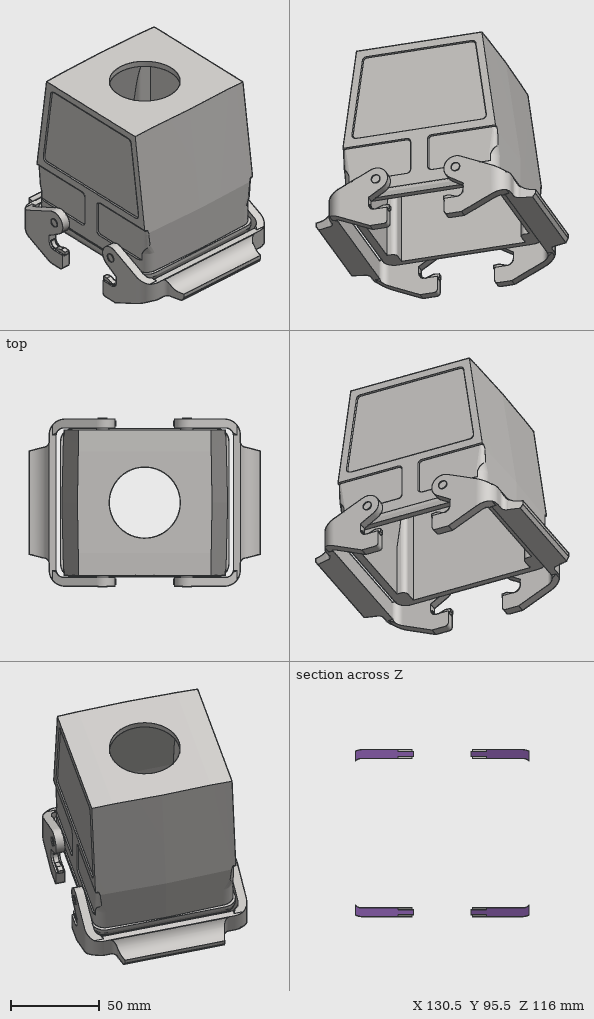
import cadquery as cq
import math

height = 95.5
half_width = 41.05
shoulder_z = 32.1
shoulder_ridge = 46.8
shoulder_corner = 45.8
top_ridge = 38.0
top_corner = 37.3
roof_flat_half = 28.6
roof_drop = 0.4

flange_half_length = 47.6
flange_half_width = 41.9
flange_top = 4.75
flange_bevel_height = 2.4
flange_bevel_inset = 0.75

corner_radius = 7.3
corner_blend_start = 17.0
corner_blend_end = 31.2
blend_top_radius = 0.6

recess_depth = 0.8
recess_radius = 2.2
recess_draft = 30
panel_bottom = 40.1
panel_top = 90.2
panel_bottom_half = 39.9
panel_top_half = 33.1
pocket_bottom = 12.9
pocket_top = 34.2
pocket_inner_x = 5.45
pocket_low_radius = 4.6
pocket_high_radius = 2.6
pocket_wall_margin = 0.1

wall = 3.5
cable_hole_diameter = 40.0
cavity_half_width = half_width - wall
post_x = 36.8
post_y = 28.0
post_radius = 3.0

pivot_x = 23.75
pivot_z = 8.45
pin_diameter = 5.1
collar_diameter = 7.0
pin_end_y = 47.75

arm_inner_y = 42.1
arm_outer_y = 47.25
bar_inner_x = 50.0
bar_outer_x = 54.0
bar_top = 2.9
bar_bottom = -8.7
bend_inner_radius = 4.2
bend_outer_radius = 9.0
arm_slope = math.radians(25)
bar_ramp = 45
bar_trim_height = 3.0
pivot_eye_radius = 7.0

lever_bottom = -20.5
hook_tip_x = 17.0
hook_heel_x = 27.3
hook_corner_radius = 2.0
notch_x = 28.2
notch_top = -2.5
notch_radius = 4.0
notch_bottom = -10.45

lip_width = 3.0
lip_thickness = 0.6
lip_crest_x = 19.3
lip_crest_z = -8.1
lip_tip_x = 16.2
lip_tip_z = -8.5
lip_root_z = -11.4

grip_end_x = 65.25
grip_top = -3.8
grip_curve_x = 63.3
grip_curve_radius = 10.0
grip_bevel_height = 2.4
grip_bevel_length = 1.5
grip_end_half = 29.2
grip_root_x = 57.2
grip_root_half = 31.3
grip_blend_half = 34.6

REACH = 200.0


def end_outline(ridge, corner, half_y, radius, z):
    """Closed plan outline with slightly V-shaped ends and rounded corners at level z."""
    points = [
        (corner, -half_y), (ridge, 0), (corner, half_y),
        (-corner, half_y), (-ridge, 0), (-corner, -half_y),
    ]
    wire = cq.Wire.makePolygon([cq.Vector(x, y, z) for x, y in points], close=True)
    if radius == 0:
        return wire
    corners = [v for v in wire.Vertices() if abs(v.Y) > half_y / 2]
    return wire.fillet2D(radius, corners)


def loft(*wires):
    return cq.Workplane(obj=cq.Solid.makeLoft(list(wires), True))


def shoulder_outline(half_y, radius, z):
    return end_outline(shoulder_ridge, shoulder_corner, half_y, radius, z)


def rounded_plate(half_x, half_y, radius, z_low, z_high):
    return (
        cq.Workplane("XY").workplane(offset=z_low)
        .rect(2 * half_x, 2 * half_y).extrude(z_high - z_low)
        .edges("|Z").fillet(radius)
    )


def side_prism(outline):
    """Extrude an XZ outline through the whole width."""
    return outline.extrude(REACH / 2, both=True)


def housing_shell():
    lower = loft(
        shoulder_outline(half_width, corner_radius, 0),
        shoulder_outline(half_width, corner_radius, corner_blend_start),
    )
    blend = loft(
        shoulder_outline(half_width, corner_radius, corner_blend_start),
        shoulder_outline(half_width, blend_top_radius, corner_blend_end),
    )
    collar = loft(
        shoulder_outline(half_width, 0, corner_blend_end),
        shoulder_outline(half_width, 0, shoulder_z),
    )
    upper = loft(
        shoulder_outline(half_width, 0, shoulder_z),
        end_outline(top_ridge, top_corner, half_width, 0, height),
    )
    roof = (
        cq.Workplane("YZ")
        .moveTo(-half_width, -1).lineTo(half_width, -1)
        .lineTo(half_width, height - roof_drop).lineTo(roof_flat_half, height)
        .lineTo(-roof_flat_half, height).lineTo(-half_width, height - roof_drop).close()
        .extrude(REACH / 2, both=True)
    )
    return lower.union(blend).union(collar).union(upper).intersect(roof)


def flange():
    plate = rounded_plate(flange_half_length, flange_half_width, corner_radius, 0, flange_top)
    return plate.faces("<Z").chamfer(flange_bevel_height, flange_bevel_inset)


def rounded_polygon(corners):
    return cq.Sketch().polygon(corners + corners[:1]).vertices().fillet(recess_radius)


def flared_rim(outline):
    """Stretch of a recess between its floor and the face, on the front and the back."""
    floor_y = half_width - recess_depth
    rim = (
        cq.Workplane("XZ", origin=(0, -floor_y, 0))
        .placeSketch(outline).extrude(recess_depth, taper=-recess_draft)
    )
    return rim.union(rim.mirror("XZ"))


def large_panel_recess():
    return flared_rim(rounded_polygon([
        (-panel_bottom_half, panel_bottom), (panel_bottom_half, panel_bottom),
        (panel_top_half, panel_top), (-panel_top_half, panel_top),
    ]))


def pocket_core():
    """Recessed wall left standing behind the lower pockets."""
    def outline(radius, z):
        return end_outline(
            shoulder_ridge + pocket_wall_margin, shoulder_corner + pocket_wall_margin,
            half_width - recess_depth, radius, z)

    straight = loft(outline(pocket_low_radius, 0), outline(pocket_low_radius, corner_blend_start))
    blend = loft(
        outline(pocket_low_radius, corner_blend_start),
        outline(pocket_high_radius, corner_blend_end),
    )
    head = loft(
        outline(pocket_high_radius, corner_blend_end),
        outline(pocket_high_radius, shoulder_z + pocket_top),
    )
    return straight.union(blend).union(head)


def lower_pockets():
    outer_x = REACH / 2
    outline = rounded_polygon([
        (pocket_inner_x, pocket_bottom), (outer_x, pocket_bottom),
        (outer_x, pocket_top), (pocket_inner_x, pocket_top),
    ])
    floor_y = half_width - recess_depth
    behind_floor = (
        cq.Workplane("XZ", origin=(0, floor_y, 0)).placeSketch(outline).extrude(2 * floor_y)
    )
    pocket = flared_rim(outline).union(behind_floor).cut(pocket_core())
    return pocket.union(pocket.mirror("YZ"))


def cavity():
    plan = (
        cq.Workplane("XY").rect(2 * post_x, 2 * cavity_half_width).extrude(height)
        .union(cq.Workplane("XY").rect(2 * shoulder_ridge, 2 * post_y).extrude(height))
    )
    post_edges = cq.selectors.BoxSelector(
        (-post_x - 1, -post_y - 1, 0), (post_x + 1, post_y + 1, height))
    plan = plan.edges("|Z").edges(post_edges).fillet(post_radius)
    inner_top = height - wall
    lean = (shoulder_corner - top_corner) / (height - shoulder_z)
    inner_shoulder = shoulder_corner - wall
    inner_top_half = inner_shoulder - lean * (inner_top - shoulder_z)
    profile = (
        cq.Workplane("XZ")
        .moveTo(-inner_shoulder, 0).lineTo(inner_shoulder, 0)
        .lineTo(inner_shoulder, shoulder_z).lineTo(inner_top_half, inner_top)
        .lineTo(-inner_top_half, inner_top).lineTo(-inner_shoulder, shoulder_z).close()
    )
    return plan.intersect(side_prism(profile))


def pivot_pin(side_x, side_y):
    """Collar and pin that stand out from the front or back face."""
    def stub(diameter, end_y):
        start_y = half_width - recess_depth
        return (
            cq.Workplane("XZ").center(side_x * pivot_x, pivot_z)
            .circle(diameter / 2).extrude(-side_y * (end_y - start_y))
            .translate((0, side_y * start_y, 0))
        )
    return stub(collar_diameter, arm_inner_y).union(stub(pin_diameter, pin_end_y))


def make_housing():
    body = housing_shell().cut(large_panel_recess()).cut(lower_pockets())
    body = body.union(flange()).cut(cavity())
    cable_hole = (
        cq.Workplane("XY").workplane(offset=height / 2)
        .circle(cable_hole_diameter / 2).extrude(height)
    )
    body = body.cut(cable_hole)
    for side_x in (-1, 1):
        for side_y in (-1, 1):
            body = body.union(pivot_pin(side_x, side_y))
    return body


def lever_side_profile():
    """Arm, hook and bar seen from the side, for the lever at +X."""
    upper_tangent = (
        pivot_x + pivot_eye_radius * math.sin(arm_slope),
        pivot_z + pivot_eye_radius * math.cos(arm_slope),
    )
    slope_end_x = upper_tangent[0] + (upper_tangent[1] - bar_top) / math.tan(arm_slope)
    heel_end_x = hook_heel_x + (bar_bottom - lever_bottom) / math.tan(arm_slope)
    to_notch_x = notch_x - pivot_x
    to_notch_z = notch_top - pivot_z
    bearing = math.atan2(to_notch_z, to_notch_x)
    spread = math.acos(pivot_eye_radius / math.hypot(to_notch_x, to_notch_z))
    lower_angle = bearing - spread
    lower_tangent = (
        pivot_x + pivot_eye_radius * math.cos(lower_angle),
        pivot_z + pivot_eye_radius * math.sin(lower_angle),
    )
    notch_centre = (notch_x - notch_radius, notch_bottom + notch_radius)
    diagonal = notch_radius * math.sqrt(0.5)
    outline = (
        cq.Workplane("XZ")
        .moveTo(*upper_tangent)
        .threePointArc((pivot_x - pivot_eye_radius, pivot_z), lower_tangent)
        .lineTo(notch_x, notch_top)
        .lineTo(notch_x, notch_centre[1])
        .threePointArc(
            (notch_centre[0] + diagonal, notch_centre[1] - diagonal),
            (notch_centre[0], notch_bottom))
        .lineTo(hook_tip_x, notch_bottom)
        .lineTo(hook_tip_x, lever_bottom + hook_corner_radius)
        .radiusArc((hook_tip_x + hook_corner_radius, lever_bottom), -hook_corner_radius)
        .lineTo(hook_heel_x, lever_bottom)
        .lineTo(heel_end_x, bar_bottom)
        .lineTo(bar_outer_x, bar_bottom)
        .lineTo(bar_outer_x, bar_top)
        .lineTo(slope_end_x, bar_top)
        .close()
    )
    return side_prism(outline)


def bar_trim():
    """Material above and below the level bar, with ramps up to the sloping bends."""
    half_y = arm_outer_y - bend_outer_radius
    length = bar_outer_x - bar_inner_x

    def slab(level, rise):
        return (
            cq.Workplane("XY", origin=((bar_inner_x + bar_outer_x) / 2, 0, level))
            .rect(length, 2 * half_y).extrude(rise, taper=-bar_ramp)
        )
    return slab(bar_top, bar_trim_height).union(slab(bar_bottom, -bar_trim_height))


def lever_strap():
    """U-shaped strap: two arms joined by the level bar through rounded bends."""
    outer = rounded_plate(bar_outer_x, arm_outer_y, bend_outer_radius, -REACH, REACH)
    inner = rounded_plate(bar_inner_x, arm_inner_y, bend_inner_radius, -REACH, REACH)
    return outer.cut(inner).intersect(lever_side_profile()).cut(bar_trim())


def lever_grip():
    """Finger grip on the outside of the bar."""
    curve_centre_z = grip_top + grip_curve_radius
    curve_end_x = grip_curve_x - math.sqrt(grip_curve_radius ** 2 - (curve_centre_z - bar_top) ** 2)
    middle = math.radians(225)
    root_x = (bar_inner_x + bar_outer_x) / 2
    profile = (
        cq.Workplane("XZ")
        .moveTo(root_x, bar_bottom)
        .lineTo(grip_end_x - grip_bevel_length, bar_bottom)
        .lineTo(grip_end_x, grip_top - grip_bevel_height)
        .lineTo(grip_end_x, grip_top)
        .lineTo(grip_curve_x, grip_top)
        .threePointArc(
            (grip_curve_x + grip_curve_radius * math.cos(middle),
             curve_centre_z + grip_curve_radius * math.sin(middle)),
            (curve_end_x, bar_top))
        .lineTo(root_x, bar_top)
        .close()
    )
    blend = grip_root_x - bar_outer_x
    plan = (
        cq.Workplane("XY")
        .moveTo(root_x, -grip_blend_half)
        .lineTo(bar_outer_x, -grip_blend_half)
        .radiusArc((grip_root_x, -grip_root_half), blend)
        .lineTo(grip_end_x, -grip_end_half)
        .lineTo(grip_end_x, grip_end_half)
        .lineTo(grip_root_x, grip_root_half)
        .radiusArc((bar_outer_x, grip_blend_half), blend)
        .lineTo(root_x, grip_blend_half)
        .close()
        .extrude(REACH / 2, both=True)
    )
    return side_prism(profile).intersect(plan)


def hook_lips():
    """Narrow raised rails that run along the notch of each hook, midway through its thickness."""
    centre_x = notch_x - notch_radius
    centre_z = notch_bottom + notch_radius
    inner_radius = notch_radius - lip_thickness
    inner_diagonal = inner_radius * math.sqrt(0.5)
    rail = (
        cq.Workplane("XZ")
        .moveTo(centre_x + inner_radius, centre_z)
        .threePointArc(
            (centre_x + inner_diagonal, centre_z - inner_diagonal),
            (centre_x, centre_z - inner_radius))
        .lineTo(lip_crest_x, lip_crest_z)
        .lineTo(lip_tip_x, lip_tip_z)
        .lineTo(lip_tip_x, notch_bottom)
        .lineTo(hook_tip_x, lip_root_z)
        .lineTo(notch_x + lip_thickness, lip_root_z)
        .lineTo(notch_x + lip_thickness, centre_z)
        .close()
        .extrude(lip_width / 2, both=True)
        .translate((0, (arm_inner_y + arm_outer_y) / 2, 0))
    )
    return rail.union(rail.mirror("XZ"))


def make_lever(side):
    lever = lever_strap().union(lever_grip()).union(hook_lips())
    pin_hole = side_prism(
        cq.Workplane("XZ").center(pivot_x, pivot_z).circle(pin_diameter / 2))
    lever = lever.cut(pin_hole)
    return lever if side > 0 else lever.mirror("YZ")


housing = make_housing()
levers = [make_lever(side) for side in (-1, 1)]

result = cq.Compound.makeCompound([housing.val(), *[lever.val() for lever in levers]])